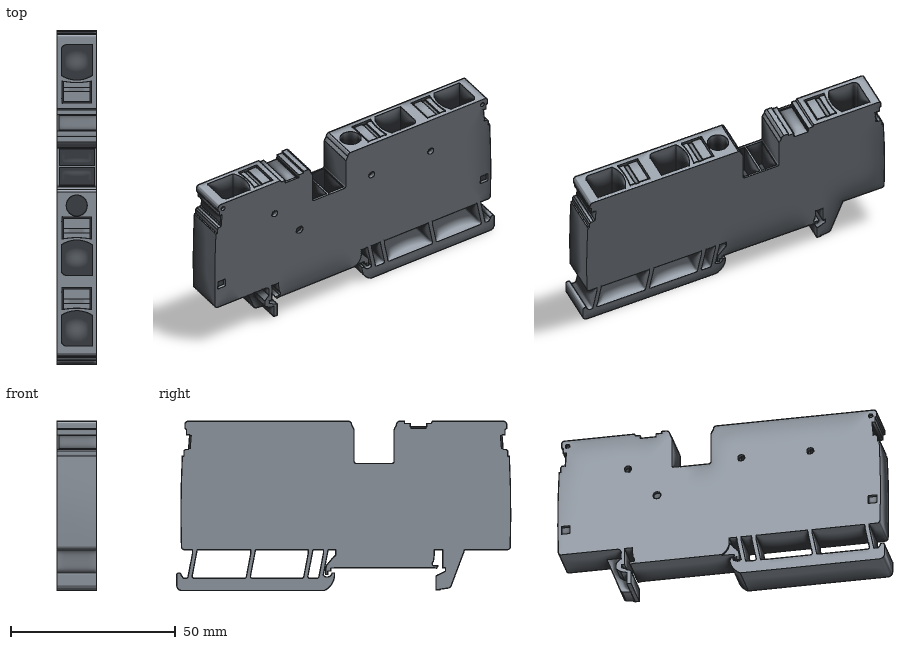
import cadquery as cq
import math

thickness = 12.0
overall_length = 101.47
overall_height = 51.45
overlap = 0.5

body_half = 50.105
body_bottom = 12.4
foot_end = body_half - overall_length

body_corner = 1.0
top_corner = 1.0
beak_inset = 1.22
beak_edge = 49.25
beak_bottom = 48.9
beak_neck_inset = 1.7
label_top = 47.3
label_bottom = 42.9
label_inset_top = 2.65
label_inset_bottom = 2.3
sill_inset = 1.35
sill_bottom = 42.4
shoulder_inset = 0.9
shoulder_z = 40.85
wall_top_inset = 0.42
wall_foot_inset = 0.15
wall_crown_z = 24.0

label_sink = 0.55
label_x = (0.65, thickness)
label_end_gap = 0.2

marker_ledge = (17.85, 26.3)
marker_ledge_z = 50.8
marker_slot = (19.6, 24.5)
marker_slot_z = 49.8
marker_chamfer = 0.4

opening = (2.55, 14.6)
opening_floor = 38.65
opening_fillet = 0.6
crown_drop = 2.85
crown_run = 1.6
bevel_rise = 1.75
bevel_run = 0.75
rounding_mid = (0.3, 0.65)
heel_rise = 0.4
heel_run = 0.05
socket_x = (0.75, 11.45)
socket_spans = ((2.8, 8.4), (9.05, 14.2))
socket_depth = 10.0

funnel_end = 45.75
funnel_pitch = 21.43
funnel_x = (1.3, 10.75)
funnel_straight = 9.3
funnel_reach = 10.75
funnel_corner = 1.6
funnel_depth = 15.0
pusher_x = (1.5, 10.5)
pusher_start = 11.05
pusher_start_mid = 11.5
pusher_end = 17.75
pusher_gap = 0.45
pusher_gap_depth = 14.0
pusher_recess = 0.3
pusher_groove = (12.95, 14.25)
pusher_groove_depth = 0.5

test_hole_y = -3.1
test_hole_diameter = 6.4
test_hole_depth = 15.0

pivot_radius = 1.05
pivot_inset = 17.45
pivot_z = 39.6
pivot_depth = 1.7
pin_hole_y = 19.3
pin_hole_z = 29.6
pin_hole_radius = 1.2
dot_y = 47.05
dot_z = 49.55
dot_radius = 0.65
recess_depth = 1.0
square_y = 47.65
square_z = 20.8
square_side = 2.7
square_corner = 0.3

saddle_bottom = 6.95
saddle_start = 26.5
saddle_end = -3.1
saddle_lip = 28.05
saddle_lip_top = 7.6
saddle_flank_top = 26.9
saddle_flank_bend = (26.9, 11.0)
saddle_undercut_start = (26.65, 9.0)
saddle_undercut_mid = (26.3, 8.2)
saddle_lip_tip = (27.6, 6.8)
saddle_arc_end = -0.8
saddle_arc_mid = (-2.3, 8.3)
saddle_arc_top = 10.8

latch_tip_z = 0.2
latch_root_radius = 1.3
strip_outer = 30.4
strip_inner = 29.4
jaw_outer = 31.95
jaw_inner = 30.25
jaw_outer_z = (7.6, 5.7)
jaw_inner_z = 5.9
jaw_foot = (30.6, 4.6)
slant_mid = (29.0, 5.3)
tail_outer = 28.65
tail_inner = 27.35
tail_outer_top = 4.1
tail_inner_top = 4.5
strip_neck_z = 9.1
web_root = 36.1
web_heel = ((31.9, 1.2), (31.4, 0.8))
web_toe_z = 0.4
web_x = 6.0

foot_top = 3.8
toe_top = 5.4
toe_width = 1.4
foot_corner = 1.6
foot_tip = -3.4
foot_arc_end = -6.55
rib_tops = (-5.35, -9.95, -27.4, -45.1)
rib_width = 1.28
rib_lean = 1.65
rib_root_fillet = 0.5
level_tolerance = 0.01
rib_land = 1.0
toe_root_run = 0.6
foot_arc_mid = (-4.35, 1.85)
cradle_start = (-8.0, foot_top)
cradle_edge = (-6.95, 4.8)
cradle_mid = (-5.6, 4.15)
cradle_lip = -4.2

hook_recess = 0.5
hook_shoulder = (-3.65, 10.3)
hook_elbow = (-5.85, 7.75)
hook_back = -6.1
hook_back_top = 6.7
hook_tip = -5.45
hook_tip_z = 4.9
hook_throat = (-4.55, 5.95)
hook_throat_top = 6.85


def side_plane(x=0.0):
    """Sketch plane facing +X at the given X; its axes are Y and Z."""
    return cq.Workplane("YZ", origin=(x, 0, 0))


def plate(points, x_from=0.0, x_to=thickness):
    """Straight-sided Y-Z outline extruded along X."""
    return side_plane(x_from).polyline(points).close().extrude(x_to - x_from)


def block(x_span, y_span, z_span):
    """Axis-aligned box given by its limits."""
    size = [high - low for low, high in (x_span, y_span, z_span)]
    corner = (x_span[0], y_span[0], z_span[0])
    return cq.Workplane("XY").box(*size, centered=False).translate(corner)


def side_hole(y, z, radius, depth):
    """Blind round hole tool entering from the -X face."""
    return side_plane().center(y, z).circle(radius).extrude(depth)


def half_body():
    """+Y half of the housing with its stepped and bowed end wall."""
    def out(inset):
        return body_half - inset

    return (
        side_plane()
        .moveTo(0, overall_height)
        .lineTo(out(beak_inset + top_corner), overall_height)
        .radiusArc((out(beak_inset), overall_height - top_corner), top_corner)
        .lineTo(out(beak_inset), beak_edge)
        .lineTo(out(beak_neck_inset), beak_bottom)
        .lineTo(out(beak_neck_inset), label_top)
        .lineTo(out(label_inset_top), label_top)
        .lineTo(out(label_inset_bottom), label_bottom)
        .lineTo(out(sill_inset), label_bottom)
        .lineTo(out(shoulder_inset), sill_bottom)
        .lineTo(out(shoulder_inset), shoulder_z)
        .lineTo(out(wall_top_inset), shoulder_z)
        .threePointArc((body_half, wall_crown_z), (out(wall_foot_inset), body_bottom + body_corner))
        .radiusArc((out(body_corner), body_bottom), body_corner)
        .lineTo(0, body_bottom)
        .close()
        .extrude(thickness)
    )


def end_label_bed():
    """Label bed sunk into the floor of the +Y label slot, closed by a rim at the -X face."""
    slope = (label_inset_top - label_inset_bottom) / (label_top - label_bottom)
    z_low = label_bottom + label_end_gap
    z_high = label_top - label_end_gap
    y_low = body_half - label_inset_bottom - slope * label_end_gap
    y_high = body_half - label_inset_top + slope * label_end_gap
    return plate(
        [
            (y_low - label_sink, z_low),
            (y_low + overlap, z_low),
            (y_high + overlap, z_high),
            (y_high - label_sink, z_high),
        ],
        *label_x,
    )


def marker_groove():
    """Stepped groove across the top for the marker strip."""
    low, high = marker_ledge
    return plate(
        [
            (low, overall_height),
            (low, marker_ledge_z),
            (marker_slot[0], marker_ledge_z),
            (marker_slot[0], marker_slot_z),
            (marker_slot[1], marker_slot_z),
            (marker_slot[1], marker_ledge_z),
            (high - marker_chamfer, marker_ledge_z),
            (high, overall_height),
        ]
    )


def marker_bed():
    """Label bed sunk into the floor of the marker groove, closed by a rim at the -X face."""
    return block(
        label_x,
        (marker_slot[0] + label_end_gap, marker_slot[1] - label_end_gap),
        (marker_slot_z - label_sink, marker_slot_z),
    )


def plug_opening():
    """Opening between the clamping blocks, flared by rounded upper edges."""
    low, high = opening
    crown_z = overall_height - crown_drop
    round_z = crown_z + bevel_rise
    mid_run = bevel_run + rounding_mid[0] * (crown_run - bevel_run)
    mid_z = round_z + rounding_mid[1] * (overall_height - round_z)
    return (
        side_plane()
        .moveTo(low - crown_run, overall_height)
        .threePointArc((low - mid_run, mid_z), (low - bevel_run, round_z))
        .lineTo(low - heel_run, crown_z + heel_rise)
        .lineTo(low, crown_z)
        .lineTo(low, opening_floor + opening_fillet)
        .radiusArc((low + opening_fillet, opening_floor), -opening_fillet)
        .lineTo(high - opening_fillet, opening_floor)
        .radiusArc((high, opening_floor + opening_fillet), -opening_fillet)
        .lineTo(high, crown_z)
        .lineTo(high + heel_run, crown_z + heel_rise)
        .lineTo(high + bevel_run, round_z)
        .threePointArc((high + mid_run, mid_z), (high + crown_run, overall_height))
        .close()
        .extrude(thickness)
    )


def funnel(end, inward):
    """Wire funnel; `inward` is the Y direction from its outer end to the pusher."""
    x_low, x_high = funnel_x
    shoulder = end + inward * funnel_straight
    corner = inward * funnel_corner
    bend = (1 - math.sqrt(0.5)) * funnel_corner
    return (
        cq.Workplane("XY", origin=(0, 0, overall_height))
        .moveTo(x_high, end)
        .lineTo(x_high, shoulder)
        .threePointArc(((x_low + x_high) / 2, end + inward * funnel_reach), (x_low, shoulder))
        .lineTo(x_low, end + corner)
        .threePointArc((x_low + bend, end + inward * bend), (x_low + funnel_corner, end))
        .close()
        .extrude(-funnel_depth)
    )


def pusher_outline(end, inward, gap, depth):
    """Pusher-shaped prism sunk from the top, shrunk by `gap` on the three straight sides."""
    x_low = pusher_x[0] + gap
    x_high = pusher_x[1] - gap
    start = end + inward * pusher_start
    stop = end + inward * (pusher_end - gap)
    return (
        cq.Workplane("XY", origin=(0, 0, overall_height))
        .moveTo(x_low, stop)
        .lineTo(x_low, start)
        .threePointArc(((x_low + x_high) / 2, end + inward * pusher_start_mid), (x_high, start))
        .lineTo(x_high, stop)
        .close()
        .extrude(-depth)
    )


def pusher_cut(end, inward):
    """Gap around the pusher, its sunken top and the screwdriver groove across it."""
    surround = pusher_outline(end, inward, 0, pusher_gap_depth)
    surround = surround.cut(pusher_outline(end, inward, pusher_gap, pusher_gap_depth))
    recess = pusher_outline(end, inward, 0, pusher_recess)
    groove_ends = sorted(end + inward * distance for distance in pusher_groove)
    groove = block(
        pusher_x,
        groove_ends,
        (overall_height - pusher_recess - pusher_groove_depth, overall_height),
    )
    return surround.union(recess).union(groove)


def saddle():
    """Block that rests on the rail, with the lip beside the latch."""
    return (
        side_plane()
        .moveTo(saddle_flank_top, body_bottom + overlap)
        .lineTo(*saddle_flank_bend)
        .lineTo(*saddle_undercut_start)
        .threePointArc(saddle_undercut_mid, (saddle_start, saddle_lip_top))
        .lineTo(saddle_lip, saddle_lip_top)
        .lineTo(*saddle_lip_tip)
        .lineTo(saddle_start, saddle_bottom)
        .lineTo(saddle_arc_end, saddle_bottom)
        .threePointArc(saddle_arc_mid, (saddle_end, saddle_arc_top))
        .lineTo(saddle_end, body_bottom + overlap)
        .close()
        .extrude(thickness)
    )


def latch():
    """Spring latch: an S-shaped full-width strip stiffened by a web."""
    root = strip_outer + latch_root_radius
    outer_curve = [
        (strip_outer, strip_neck_z),
        (jaw_outer, jaw_outer_z[0]),
        (jaw_outer, jaw_outer_z[1]),
        jaw_foot,
        (tail_outer, tail_outer_top),
    ]
    inner_curve = [
        (tail_outer, latch_tip_z),
        (tail_inner, latch_tip_z),
        (tail_inner, tail_inner_top),
        slant_mid,
        (jaw_inner, jaw_inner_z),
        (jaw_inner, saddle_bottom),
        (strip_inner, saddle_bottom),
        (strip_inner, body_bottom + overlap),
    ]
    strip = (
        side_plane()
        .moveTo(root, body_bottom + overlap)
        .lineTo(root, body_bottom)
        .radiusArc((strip_outer, body_bottom - latch_root_radius), -latch_root_radius)
        .polyline(outer_curve + inner_curve, includeCurrent=True)
        .close()
        .extrude(thickness)
    )
    web_edge = [
        (tail_outer, web_toe_z),
        *reversed(web_heel),
        (web_root, body_bottom),
        (web_root, body_bottom + overlap),
        (strip_outer, body_bottom + overlap),
    ]
    web = plate(outer_curve + web_edge, web_x)
    return strip.union(web)


def rail_hook():
    """Fixed hook that grips the rail, set back from the -X face."""
    return plate(
        [
            (saddle_end + overlap, saddle_arc_top),
            (saddle_end, saddle_arc_top),
            hook_shoulder,
            hook_elbow,
            (hook_back, hook_back_top),
            (hook_back, hook_tip_z),
            (hook_tip, hook_tip_z),
            (hook_tip, hook_throat[1]),
            hook_throat,
            (hook_throat[0], hook_throat_top),
            (saddle_arc_end, saddle_bottom),
            (saddle_arc_end, saddle_bottom + overlap),
        ],
        hook_recess,
    )


def foot():
    """Foot bar with the cradle under the hook and an upturned toe."""
    toe_inner = foot_end + toe_width
    toe_radius = toe_width / 2
    return (
        side_plane()
        .moveTo(foot_tip, toe_top)
        .threePointArc(foot_arc_mid, (foot_arc_end, 0))
        .lineTo(foot_end + foot_corner, 0)
        .radiusArc((foot_end, foot_corner), foot_corner)
        .lineTo(foot_end, toe_top - toe_radius)
        .threePointArc((foot_end + toe_radius, toe_top), (toe_inner, toe_top - toe_radius))
        .lineTo(toe_inner + toe_root_run, foot_top)
        .lineTo(*cradle_start)
        .lineTo(*cradle_edge)
        .threePointArc(cradle_mid, (cradle_lip, toe_top))
        .close()
        .extrude(thickness)
    )


def rib(top):
    """Leaning rib that joins the foot to the housing; `top` is its upper +Y corner."""
    slope = rib_lean / (body_bottom - foot_top)
    rise = slope * overlap
    low = top - rib_lean - rise
    high = top + rise
    land_y = top - rib_width - slope * rib_land
    return plate(
        [
            (low, foot_top - overlap),
            (high, body_bottom + overlap),
            (land_y, body_bottom + overlap),
            (land_y, body_bottom - rib_land),
            (low - rib_width, foot_top - overlap),
        ]
    )


end_half = half_body().cut(end_label_bed())
result = end_half.union(end_half.mirror("XZ"))
result = result.cut(marker_groove()).cut(marker_bed())
result = result.cut(plug_opening())
for span in socket_spans:
    result = result.cut(block(socket_x, span, (opening_floor - socket_depth, opening_floor)))

clamps = ((funnel_end, -1), (-funnel_end, 1), (-funnel_end + funnel_pitch, 1))
for clamp_end, direction in clamps:
    result = result.cut(funnel(clamp_end, direction))
    result = result.cut(pusher_cut(clamp_end, direction))
    pivot_y = clamp_end + direction * pivot_inset
    result = result.cut(side_hole(pivot_y, pivot_z, pivot_radius, pivot_depth))

test_hole = (
    cq.Workplane("XY", origin=(thickness / 2, test_hole_y, overall_height))
    .circle(test_hole_diameter / 2)
    .extrude(-test_hole_depth)
)
result = result.cut(test_hole)

result = result.cut(side_hole(pin_hole_y, pin_hole_z, pin_hole_radius, recess_depth))
for side in (-1, 1):
    result = result.cut(side_hole(side * dot_y, dot_z, dot_radius, recess_depth))
    square = side_plane().center(side * square_y, square_z).rect(square_side, square_side)
    result = result.cut(square.extrude(recess_depth).edges("|X").fillet(square_corner))

for piece in (saddle(), latch(), rail_hook(), foot()):
    result = result.union(piece)
for rib_top in rib_tops:
    result = result.union(rib(rib_top))

rib_roots = cq.selectors.BoxSelector(
    (-overlap, foot_end + foot_corner, foot_top - level_tolerance),
    (thickness + overlap, rib_tops[0] - rib_lean, foot_top + level_tolerance),
)
result = result.edges("|X").edges(rib_roots).fillet(rib_root_fillet)